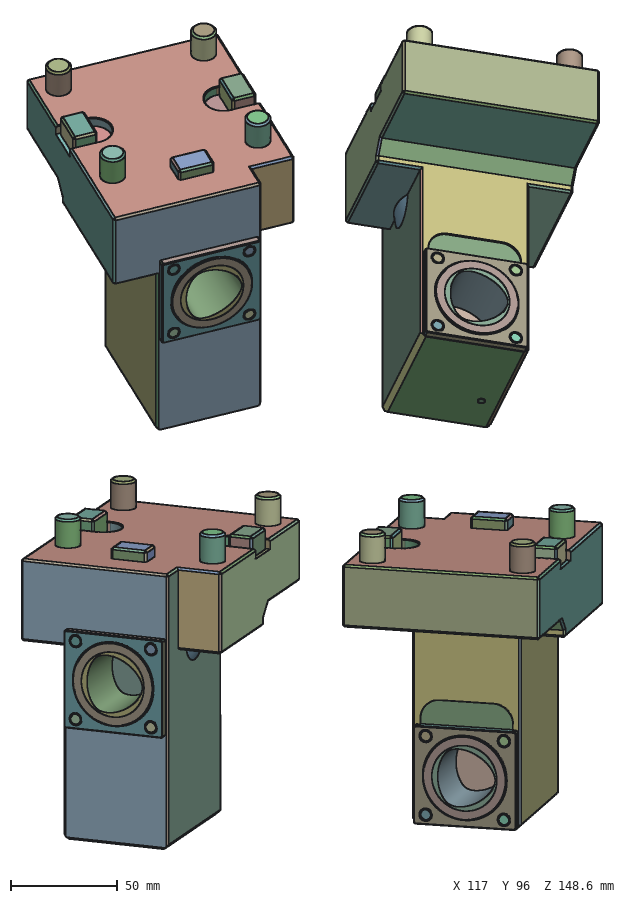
import cadquery as cq
import math

EDGE = 1.0

PLATE_LENGTH = 113.0
PLATE_WIDTH = 96.0
TOP_Z = 134.3
THIN_Z = 104.1
THICK_Z = 94.3
STEP_X = 40.0
SLOPE_RISE = 6.2
NOTCH_LENGTH = 12.8

BODY_LEFT = 45.9
BODY_WIDTH = 52.9
BODY_LENGTH = PLATE_LENGTH - BODY_LEFT
BOTTOM_CHAMFER = 2.5

PIN_DIAMETER = 12.0
PIN_TOP_Z = 148.1
PIN_CENTRE_X = 47.1
PIN_SPACING_X = 70.1
PIN_SPACING_Y = 73.1

KEY_LENGTH = 18.0
KEY_DEPTH = 12.0
KEY_TOP_Z = 139.8
SIDE_KEY_Y = 40.0
END_KEY_X = 91.0
POCKET_WIDTH = KEY_LENGTH
POCKET_REACH = 24.2
POCKET_RIM_CHAMFER = 0.5
POCKET_FLOOR_Z = 129.4

FLANGE_WIDTH = 49.9
FLANGE_HEIGHT = 47.5
FLANGE_THICKNESS = 3.4
FLANGE_CORNER_CHAMFER = 0.7
FLANGE_FACE_CHAMFER = 0.5
LEFT_FLANGE_Z = 24.2
RIGHT_FLANGE_Z = 79.0
RING_DIAMETER = 40.0
RING_HEIGHT = 0.6
RING_SEAT_DIAMETER = 41.0
SEAT_DEPTH = 1.0
SCREW_SPACING = 38.0
SCREW_HOLE_DIAMETER = 6.1
SCREW_DIAMETER = 5.0
COLLAR_DIAMETER = 31.6
COLLAR_DEPTH = 0.1

BORE_RADIUS = 14.0
BORE_LOBE = 1.0
BORE_DEPTH = 30.0
BORE_TAPER = 1 / 40

ARCH_WIDTH = 45.2
ARCH_TOP_Z = 60.2
ARCH_RADIUS = 9.5
ARCH_DEPTH = 1.0

DOME_DIAMETER = 22.5
DOME_HEIGHT = 2.8
DOME_Z = 95.5

STUD_DIAMETER = 3.5
STUD_HEIGHT = 0.5
STUD_X = 90.8
STUD_Y = -15.7


def make_plate():
    profile = [
        (0, THIN_Z),
        (STEP_X, THIN_Z),
        (BODY_LEFT, THIN_Z - SLOPE_RISE),
        (BODY_LEFT, THICK_Z),
        (PLATE_LENGTH, THICK_Z),
        (PLATE_LENGTH, TOP_Z),
        (0, TOP_Z),
    ]
    plate = cq.Workplane("XZ").polyline(profile).close().extrude(PLATE_WIDTH / 2, both=True)
    notch_width = (PLATE_WIDTH - BODY_WIDTH) / 2
    notch = cq.Workplane("XY").box(NOTCH_LENGTH, notch_width, TOP_Z, centered=False)
    plate = plate.cut(notch.translate((PLATE_LENGTH - NOTCH_LENGTH, BODY_WIDTH / 2, 0)))
    return plate.faces(">Z or <Z or <Y or >Y or <X or >X").edges().chamfer(EDGE)


def make_body():
    body = cq.Workplane("XY").box(BODY_LENGTH, BODY_WIDTH, TOP_Z - EDGE, centered=(False, True, False))
    body = body.edges("<Z and |X").chamfer(BOTTOM_CHAMFER)
    body = body.edges("|Z").chamfer(EDGE)
    body = body.faces("<Z").edges(">X").chamfer(EDGE)
    return body.translate((BODY_LEFT, 0, 0))


def make_pins():
    pins = (
        cq.Workplane("XY", origin=(PIN_CENTRE_X, 0, POCKET_FLOOR_Z))
        .rarray(PIN_SPACING_X, PIN_SPACING_Y, 2, 2)
        .circle(PIN_DIAMETER / 2)
        .extrude(PIN_TOP_Z - POCKET_FLOOR_Z)
    )
    return pins.faces(">Z").edges().chamfer(EDGE)


def make_key(x, y, size_x, size_y):
    key = cq.Workplane("XY").box(size_x, size_y, KEY_TOP_Z - POCKET_FLOOR_Z, centered=(True, True, False))
    key = key.edges("|Z or >Z").chamfer(EDGE)
    return key.translate((x, y, POCKET_FLOOR_Z))


def make_pocket(side):
    edge_y = side * PLATE_WIDTH / 2
    arc_y = edge_y - side * (POCKET_REACH - POCKET_WIDTH / 2)
    tip_y = edge_y - side * POCKET_REACH
    left = PIN_CENTRE_X - POCKET_WIDTH / 2
    right = PIN_CENTRE_X + POCKET_WIDTH / 2
    return (
        cq.Workplane("XY", origin=(0, 0, POCKET_FLOOR_Z))
        .moveTo(left, edge_y)
        .lineTo(left, arc_y)
        .threePointArc((PIN_CENTRE_X, tip_y), (right, arc_y))
        .lineTo(right, edge_y)
        .close()
        .extrude(TOP_Z - POCKET_FLOOR_Z)
    )


def lobed_curve(radius):
    """Constant-width curve with three lobes, one of them on the local +X axis."""

    def point(turn):
        angle = 2 * math.pi * turn
        reach = radius + BORE_LOBE * math.cos(3 * angle)
        slide = 3 * BORE_LOBE * math.sin(3 * angle)
        x = reach * math.cos(angle) + slide * math.sin(angle)
        y = reach * math.sin(angle) - slide * math.cos(angle)
        return (x, y)

    return point


def flange_plane(x, z, outward):
    """Plane on an X face of the body, with its normal pointing outward (+1 or -1)."""
    return cq.Plane(origin=(x, 0, z), xDir=(0, outward, 0), normal=(outward, 0, 0))


def make_flange(plane):
    plate = (
        cq.Workplane(plane)
        .workplane(offset=-ARCH_DEPTH)
        .rect(FLANGE_WIDTH, FLANGE_HEIGHT)
        .extrude(ARCH_DEPTH + FLANGE_THICKNESS)
    )
    normal = ">X" if plane.zDir.x > 0 else "<X"
    plate = plate.edges("|X").chamfer(FLANGE_CORNER_CHAMFER)
    plate = plate.faces(normal).edges().chamfer(FLANGE_FACE_CHAMFER)

    face = cq.Workplane(plane).workplane(offset=FLANGE_THICKNESS)
    seat = face.circle(RING_SEAT_DIAMETER / 2).circle(RING_DIAMETER / 2).extrude(-SEAT_DEPTH)
    screws = (
        face.rarray(SCREW_SPACING, SCREW_SPACING, 2, 2)
        .circle(SCREW_HOLE_DIAMETER / 2)
        .circle(SCREW_DIAMETER / 2)
        .extrude(-SEAT_DEPTH)
    )
    ring = face.circle(RING_DIAMETER / 2).extrude(RING_HEIGHT)
    collar = face.workplane(offset=RING_HEIGHT).circle(COLLAR_DIAMETER / 2).extrude(-COLLAR_DEPTH)
    return plate.cut(seat).cut(screws).union(ring).cut(collar)


def make_bore(plane):
    mouth = FLANGE_THICKNESS + RING_HEIGHT
    end_radius = BORE_RADIUS - BORE_TAPER * BORE_DEPTH
    return (
        cq.Workplane(plane)
        .workplane(offset=mouth)
        .parametricCurve(lobed_curve(BORE_RADIUS))
        .workplane(offset=-BORE_DEPTH)
        .parametricCurve(lobed_curve(end_radius))
        .loft()
    )


def make_arch_recess():
    height = ARCH_TOP_Z - LEFT_FLANGE_Z
    recess = cq.Workplane("XY").box(ARCH_DEPTH, ARCH_WIDTH, height, centered=(False, True, False))
    recess = recess.edges("|X and >Z").fillet(ARCH_RADIUS)
    return recess.translate((BODY_LEFT, 0, LEFT_FLANGE_Z))


def make_dome():
    radius = ((DOME_DIAMETER / 2) ** 2 + DOME_HEIGHT**2) / (2 * DOME_HEIGHT)
    centre_x = BODY_LEFT + BODY_LENGTH / 2
    centre_y = BODY_WIDTH / 2 + DOME_HEIGHT - radius
    return cq.Workplane("XY").sphere(radius).translate((centre_x, centre_y, DOME_Z))


def make_stud():
    stud = cq.Workplane("XY").circle(STUD_DIAMETER / 2).extrude(-STUD_HEIGHT)
    return stud.translate((STUD_X, STUD_Y, 0))


result = make_plate().union(make_body()).union(make_dome()).union(make_stud())

for side in (-1, 1):
    result = result.cut(make_pocket(side))
pocket_edges = cq.selectors.BoxSelector(
    (PIN_CENTRE_X - POCKET_WIDTH, -PLATE_WIDTH / 2, THICK_Z),
    (PIN_CENTRE_X + POCKET_WIDTH, PLATE_WIDTH / 2, PIN_TOP_Z),
)
result = result.faces(">Z").edges(pocket_edges).chamfer(POCKET_RIM_CHAMFER)

for side in (-1, 1):
    result = result.union(make_key(PIN_CENTRE_X, side * SIDE_KEY_Y, KEY_LENGTH, KEY_DEPTH))
result = result.union(make_key(END_KEY_X, 0, KEY_DEPTH, KEY_LENGTH))
result = result.union(make_pins())

result = result.cut(make_arch_recess())
flange_planes = (
    flange_plane(BODY_LEFT, LEFT_FLANGE_Z, -1),
    flange_plane(PLATE_LENGTH, RIGHT_FLANGE_Z, 1),
)
for plane in flange_planes:
    result = result.union(make_flange(plane)).cut(make_bore(plane))